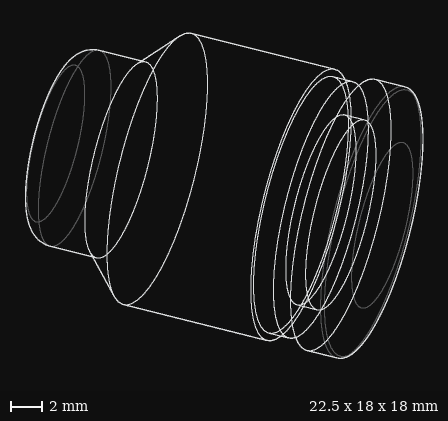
import cadquery as cq
import math

length = 22.5
body_radius = 18.0 / 2
nose_radius = 13.0 / 2
step_radius = 17.0 / 2
neck_radius = 12.6 / 2
nose_rounding = 1.3

nose_end = 4.5
shoulder_rise = body_radius - nose_radius
shoulder_end = nose_end + shoulder_rise
body_end = 16.9
band_width = 1.37
step_end = body_end + band_width
neck_end = step_end + band_width

end_face_radius = 5.5
cone_slope = math.radians(10)
rim_end = length - (body_radius - end_face_radius) * math.tan(cone_slope)
rim_rounding = 0.2

profile = (
    cq.Workplane("XY")
    .moveTo(0, 0)
    .lineTo(0, nose_radius - nose_rounding)
    .radiusArc((nose_rounding, nose_radius), nose_rounding)
    .lineTo(nose_end, nose_radius)
    .lineTo(shoulder_end, body_radius)
    .lineTo(body_end, body_radius)
    .lineTo(body_end, step_radius)
    .lineTo(step_end, step_radius)
    .lineTo(step_end, neck_radius)
    .lineTo(neck_end, neck_radius)
    .lineTo(neck_end, body_radius)
    .lineTo(rim_end, body_radius)
    .lineTo(length, end_face_radius)
    .lineTo(length, 0)
    .close()
)

body = profile.revolve(360, (0, 0, 0), (1, 0, 0))

rim_edge = cq.selectors.BoxSelector(
    (rim_end - rim_rounding, -length, -length),
    (rim_end + rim_rounding, length, length),
    boundingbox=True,
)
result = body.edges(rim_edge).fillet(rim_rounding)